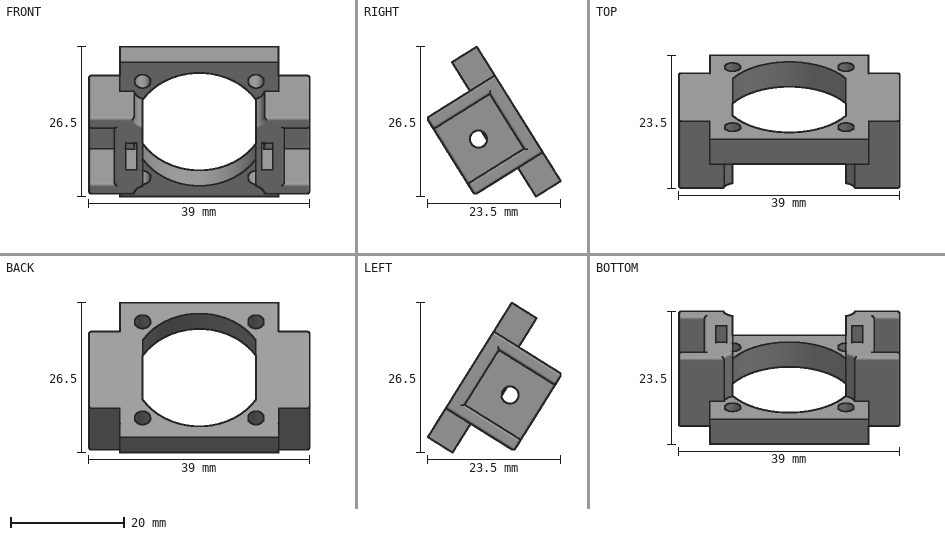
import cadquery as cq

LEAN_ANGLE = 32
PLATE_SIDE = 28.0
PLATE_THICKNESS = 5.2
BORE_DIAMETER = 23.48
MOUNT_SPACING = 20.0
MOUNT_HOLE_DIAMETER = 2.8

OVERALL_WIDTH = 39
ARM_GAP = MOUNT_SPACING
ARM_HEIGHT = 16
ARM_DEPTH = 14.2
ARM_WIDTH = (OVERALL_WIDTH - ARM_GAP) / 2
EDGE_RADIUS = 0.5

RELIEF_RADIUS = 2.1
RELIEF_OFFSET_X = 0.55
RELIEF_OFFSET_Z = 0.43

WALL = 2.3
POCKET_BACK = 2.5
POCKET_FLOOR_X = 15.0

CROSS_HOLE_DIAMETER = 3.0
CROSS_HOLE_DEPTH_POSITION = 8.4
NUT_SLOT_WIDTH = 2.0
NUT_SLOT_HEIGHT = 5.6
NUT_SLOT_DEPTH = 7.0
NUT_SLOT_X = 12.0


def box(x_range, depth_range, height):
    """Box centred on Z = 0, between two X values and two depths below the back face."""
    width = x_range[1] - x_range[0]
    depth = depth_range[1] - depth_range[0]
    corner = (x_range[0], -depth_range[1], -height / 2)
    return cq.Workplane("XY").box(width, depth, height, centered=False).translate(corner)


def make_plate():
    half_side = PLATE_SIDE / 2
    plate = box((-half_side, half_side), (0, PLATE_THICKNESS), PLATE_SIDE)
    bore = cq.Workplane("XZ").circle(BORE_DIAMETER / 2).extrude(PLATE_THICKNESS)
    return plate.cut(bore)


def make_mount_holes():
    return (
        cq.Workplane("XZ")
        .rect(MOUNT_SPACING, MOUNT_SPACING, forConstruction=True)
        .vertices()
        .circle(MOUNT_HOLE_DIAMETER / 2)
        .extrude(PLATE_THICKNESS)
    )


def make_arm():
    """Arm on the +X side."""
    inner_x = ARM_GAP / 2
    outer_x = OVERALL_WIDTH / 2
    arm = box((inner_x, outer_x), (0, ARM_DEPTH), ARM_HEIGHT)

    relief_x = inner_x - RELIEF_OFFSET_X
    relief_z = ARM_HEIGHT / 2 + RELIEF_OFFSET_Z
    reliefs = (
        cq.Workplane("XZ", origin=(0, -PLATE_THICKNESS, 0))
        .pushPoints([(relief_x, relief_z), (relief_x, -relief_z)])
        .circle(RELIEF_RADIUS)
        .extrude(ARM_DEPTH - PLATE_THICKNESS)
    )
    arm = arm.cut(reliefs)

    pocket = box((POCKET_FLOOR_X, outer_x), (POCKET_BACK, ARM_DEPTH), ARM_HEIGHT - 2 * WALL)
    arm = arm.cut(pocket)

    edges_to_round = arm.faces("<Y or >X").edges("not(>Y or <X)")
    arm = edges_to_round.fillet(EDGE_RADIUS)

    cross_hole = (
        cq.Workplane("YZ", origin=(inner_x, 0, 0))
        .center(-CROSS_HOLE_DEPTH_POSITION, 0)
        .circle(CROSS_HOLE_DIAMETER / 2)
        .extrude(ARM_WIDTH)
    )
    slot_x_range = (NUT_SLOT_X - NUT_SLOT_WIDTH / 2, NUT_SLOT_X + NUT_SLOT_WIDTH / 2)
    slot_floor = ARM_DEPTH - NUT_SLOT_DEPTH
    nut_slot = box(slot_x_range, (slot_floor, ARM_DEPTH), NUT_SLOT_HEIGHT)

    floor_land = box(slot_x_range, (0, slot_floor), NUT_SLOT_HEIGHT)
    cross_hole = cross_hole.cut(floor_land)

    bore_core = cq.Workplane("XZ").circle(BORE_DIAMETER / 2).extrude(ARM_DEPTH)
    deep_slot = box(slot_x_range, (PLATE_THICKNESS, slot_floor), NUT_SLOT_HEIGHT).intersect(bore_core)

    return arm.cut(cross_hole).cut(nut_slot).cut(deep_slot)


right_arm = make_arm()
left_arm = right_arm.mirror("YZ")
upright = make_plate().union(right_arm).union(left_arm).cut(make_mount_holes())

result = upright.rotate((0, 0, 0), (1, 0, 0), LEAN_ANGLE)